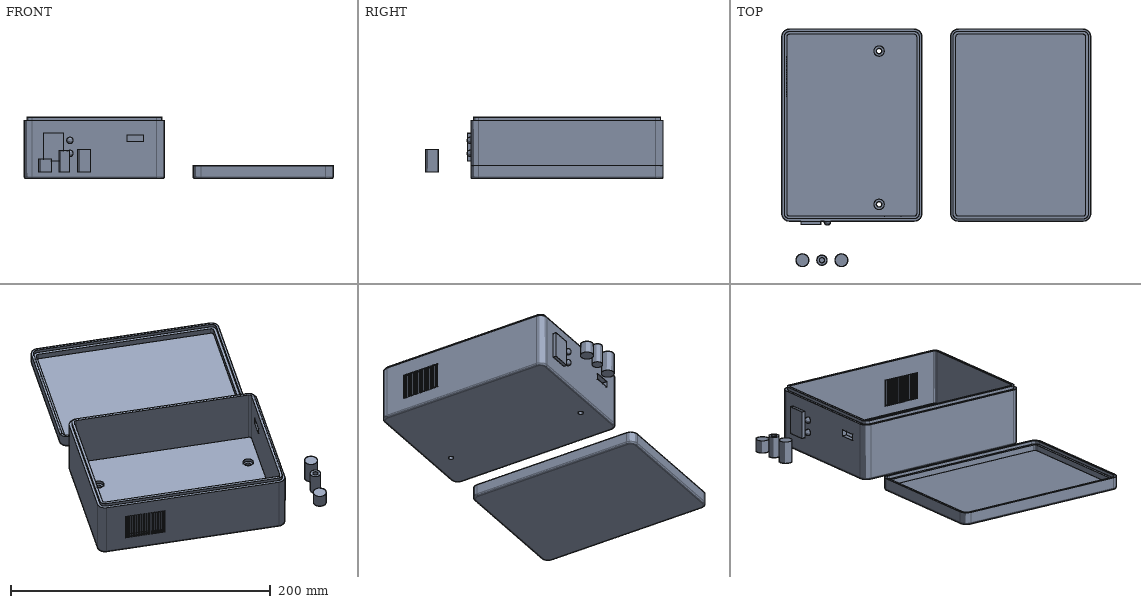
import cadquery as cq

case_width = 108.0
case_length = 148.0
corner_radius = 6.0
wall = 4.0
base_floor = 5.0
lid_floor = 3.0
bottom_fillet = 1.5
front_y = -case_length / 2

base_height = 47.5
lip_height = 2.5
lip_inset = 2.0

lid_height = 10.0
case_gap = 22.0
lid_center_x = case_width + case_gap
rebate_depth = 2.5
rim_thickness = 1.8

screw_x = 21.0
screw_y_positions = (-61.0, 57.0)
screw_diameter = 4.0
counterbore_diameter = 8.0
counterbore_depth = 2.5

port_width = 13.0
port_height = 5.0
port_x = 31.5
port_z = 31.3

vent_count = 16
vent_width = 1.0
vent_pitch = 2 * vent_width
vent_height = 21.0
vent_center_y = 37.5
vent_center_z = 22.5

plate_width = 15.3
plate_height = 21.7
plate_thickness = 2.6
plate_x = -31.5
plate_z = 24.3
lamp_diameter = 5.0
lamp_collar = 0.5
lamp_x = -18.8
lamp_z_positions = (19.5, 29.5)

row_y = front_y - 30.0
row_pitch = 15.0
row_z = base_floor
peg_diameter = 10.0
short_peg_x = -38.0
short_peg_height = 10.0
spacer_x = short_peg_x + row_pitch
spacer_diameter = 8.0
spacer_bore = 4.0
spacer_bore_depth = 10.0
spacer_height = 16.7
tall_peg_x = spacer_x + row_pitch
tall_peg_height = 17.5


def rounded_block(inset, bottom_z, top_z):
    """Block with the case footprint moved inward by inset, corners concentric."""
    return (
        cq.Workplane("XY")
        .workplane(offset=bottom_z)
        .rect(case_width - 2 * inset, case_length - 2 * inset)
        .extrude(top_z - bottom_z)
        .edges("|Z")
        .fillet(corner_radius - inset)
    )


def vertical_cylinders(points, diameter, bottom_z, height):
    """Upright cylinders of one diameter, one at each (x, y) point."""
    return (
        cq.Workplane("XY")
        .workplane(offset=bottom_z)
        .pushPoints(points)
        .circle(diameter / 2)
        .extrude(height)
    )


def make_base():
    """Open box with a joint lip, screw holes, a front port and side vents."""
    shoulder_z = base_height - lip_height
    shell = rounded_block(0, 0, shoulder_z).faces("<Z").edges().fillet(bottom_fillet)
    shell = shell.union(rounded_block(lip_inset, shoulder_z, base_height))
    shell = shell.cut(rounded_block(wall, base_floor, base_height))

    screw_points = [(screw_x, y) for y in screw_y_positions]
    shell = shell.cut(vertical_cylinders(screw_points, screw_diameter, 0, base_floor))
    counterbore_z = base_floor - counterbore_depth
    shell = shell.cut(vertical_cylinders(screw_points, counterbore_diameter, counterbore_z, counterbore_depth))

    port = cq.Workplane("XY").box(port_width, wall, port_height)
    shell = shell.cut(port.translate((port_x, front_y + wall / 2, port_z)))

    slots = (
        cq.Workplane("YZ", origin=(-case_width / 2, vent_center_y, vent_center_z))
        .rarray(vent_pitch, 1, vent_count, 1)
        .rect(vent_width, vent_height)
        .extrude(wall)
    )
    return shell.cut(slots)


def make_lid():
    """Shallow tray with a rebate around the inside of its rim."""
    tray = rounded_block(0, 0, lid_height).faces("<Z").edges().fillet(bottom_fillet)
    tray = tray.cut(rounded_block(wall, lid_floor, lid_height))
    tray = tray.cut(rounded_block(rim_thickness, lid_height - rebate_depth, lid_height))
    return tray.translate((lid_center_x, 0, 0))


def make_plate():
    plate = cq.Workplane("XY").box(plate_width, plate_thickness, plate_height)
    return plate.translate((plate_x, front_y - plate_thickness / 2, plate_z))


def make_lamp(z):
    """Dome on a short round collar whose flat end rests on the front face."""
    radius = lamp_diameter / 2
    return (
        cq.Workplane("XY", origin=(lamp_x, front_y, z))
        .lineTo(radius, 0)
        .lineTo(radius, -lamp_collar)
        .radiusArc((0, -lamp_collar - radius), radius)
        .close()
        .revolve(360, (0, 0), (0, 1))
    )


def make_peg(x, height, diameter):
    return vertical_cylinders([(x, row_y)], diameter, row_z, height)


def make_spacer():
    """Round spacer with a blind bore open at the top."""
    return (
        make_peg(spacer_x, spacer_height, spacer_diameter)
        .faces(">Z")
        .workplane(centerOption="CenterOfMass")
        .hole(spacer_bore, spacer_bore_depth)
    )


base = make_base()
lid = make_lid()
plate = make_plate()
lamps = [make_lamp(z) for z in lamp_z_positions]
short_peg = make_peg(short_peg_x, short_peg_height, peg_diameter)
tall_peg = make_peg(tall_peg_x, tall_peg_height, peg_diameter)
spacer = make_spacer()

result = cq.Compound.makeCompound(
    [
        base.val(),
        lid.val(),
        plate.val(),
        *[lamp.val() for lamp in lamps],
        short_peg.val(),
        spacer.val(),
        tall_peg.val(),
    ]
)